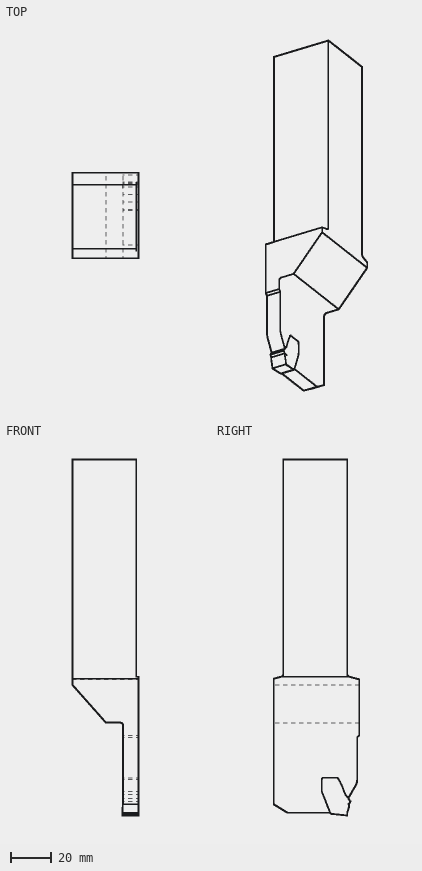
import cadquery as cq
import math

HEIGHT = 177.8
HEAD_WIDTH = 33.0
HEAD_DEPTH = 42.9

SHANK_SIDE = 32.0
SHANK_BACK = 4.8
SHANK_FRONT = SHANK_BACK + SHANK_SIDE

NECK_RADIUS = 1.5
NECK_TOP = 70.8
COLLAR_SLOPE = math.radians(15)

HEAD_SIDE_BOTTOM = 65.3
UNDERSIDE_Z = 46.4
UNDERSIDE_START = 16.7
BLADE_THICKNESS = 7.8
BLADE_X = HEAD_WIDTH - BLADE_THICKNESS
BLADE_FILLET = 1.5

BLADE_BOTTOM = 1.5
BACK_CHAMFER_RUN = 7.0
BACK_CHAMFER_RISE = 4.3
RELIEF = 1.0
RELIEF_TOP = 40.2
NOSE_TOP = (41.8, 17.6)
NOSE_ROUND_MID = (41.6, 16.5)
NOSE_ROUND_END = (41.0, 15.1)
NOSE_BOTTOM = (37.3, 8.7)

INSERT_BOTTOM_BACK = (28.5, 0.9)
INSERT_TIP = (36.8, 0.0)
TIP_FACE_TOP = (36.8, 1.5)
RAKE_BOTTOM = (37.7, 4.3)
RAKE_TOP = (37.7, 5.9)
BEAK = (38.4, 7.1)
CLAMP_SIDE = [(35.7, 10.7), (34.1, 15.0), (33.0, 17.0), (32.0, 18.8)]
SEAT_END = [(24.5, 18.8), (24.0, 18.1), (24.0, 12.3)]
FLARE_TOP = (35.7, 5.9)
FLARE_BOTTOM = (32.2, 0.5)
FLARE_HEIGHT = 0.4


def yz_prism(outline, x_start, x_end):
    """Extrude a closed (Y, Z) wire along X."""
    return outline.close().extrude(x_end - x_start).translate((x_start, 0, 0))


def head_outline():
    """Shank and head silhouette along X, with filleted necks above a sloping collar."""
    fillet_reach = NECK_RADIUS * (1 - math.sin(COLLAR_SLOPE))
    fillet_end_z = NECK_TOP - NECK_RADIUS * math.cos(COLLAR_SLOPE)
    half_turn = (math.pi / 2 - COLLAR_SLOPE) / 2
    mid_reach = NECK_RADIUS * (1 - math.cos(half_turn))
    mid_z = NECK_TOP - NECK_RADIUS * math.sin(half_turn)

    back_run = SHANK_BACK - fillet_reach
    front_run = HEAD_DEPTH - SHANK_FRONT - fillet_reach
    back_edge_z = fillet_end_z - back_run * math.tan(COLLAR_SLOPE)
    front_edge_z = fillet_end_z - front_run * math.tan(COLLAR_SLOPE)

    return (
        cq.Workplane("YZ")
        .moveTo(0, BLADE_BOTTOM + BACK_CHAMFER_RISE)
        .lineTo(0, back_edge_z)
        .lineTo(back_run, fillet_end_z)
        .threePointArc((SHANK_BACK - mid_reach, mid_z), (SHANK_BACK, NECK_TOP))
        .lineTo(SHANK_BACK, HEIGHT)
        .lineTo(SHANK_FRONT, HEIGHT)
        .lineTo(SHANK_FRONT, NECK_TOP)
        .threePointArc((SHANK_FRONT + mid_reach, mid_z), (SHANK_FRONT + fillet_reach, fillet_end_z))
        .lineTo(HEAD_DEPTH, front_edge_z)
        .lineTo(HEAD_DEPTH, RELIEF_TOP)
        .lineTo(HEAD_DEPTH - RELIEF, RELIEF_TOP - RELIEF)
        .lineTo(*NOSE_TOP)
        .threePointArc(NOSE_ROUND_MID, NOSE_ROUND_END)
        .lineTo(*NOSE_BOTTOM)
        .lineTo(INSERT_BOTTOM_BACK[0], BLADE_BOTTOM)
        .lineTo(BACK_CHAMFER_RUN, BLADE_BOTTOM)
    )


def side_envelope():
    """Shank and head silhouette along Y: ledge, slanted underside and thin blade."""
    ledge_z = NECK_TOP - NECK_RADIUS * math.cos(COLLAR_SLOPE)
    fillet_mid = BLADE_FILLET * (1 - math.sqrt(0.5))
    return (
        cq.Workplane("XZ")
        .moveTo(0, HEIGHT)
        .lineTo(SHANK_SIDE, HEIGHT)
        .lineTo(SHANK_SIDE, ledge_z)
        .lineTo(HEAD_WIDTH, ledge_z)
        .lineTo(HEAD_WIDTH, 0)
        .lineTo(BLADE_X, 0)
        .lineTo(BLADE_X, UNDERSIDE_Z - BLADE_FILLET)
        .threePointArc(
            (BLADE_X - fillet_mid, UNDERSIDE_Z - fillet_mid),
            (BLADE_X - BLADE_FILLET, UNDERSIDE_Z),
        )
        .lineTo(UNDERSIDE_START, UNDERSIDE_Z)
        .lineTo(0, HEAD_SIDE_BOTTOM)
        .close()
        .extrude(-HEAD_DEPTH)
    )


def insert_prism():
    """Plain insert, as thick as the blade."""
    outline = cq.Workplane("YZ").polyline([
        INSERT_BOTTOM_BACK,
        INSERT_TIP,
        TIP_FACE_TOP,
        RAKE_BOTTOM,
        RAKE_TOP,
        BEAK,
        NOSE_BOTTOM,
        *CLAMP_SIDE,
        *SEAT_END,
    ])
    return yz_prism(outline, BLADE_X, HEAD_WIDTH)


def tip_flare():
    """Wedge on the insert's side that grows from the flare line to the cutting corner."""
    line_y = FLARE_BOTTOM[0] - FLARE_TOP[0]
    line_z = FLARE_BOTTOM[1] - FLARE_TOP[1]
    length = math.hypot(line_y, line_z)
    tip_y = INSERT_TIP[0] - FLARE_TOP[0]
    tip_z = INSERT_TIP[1] - FLARE_TOP[1]
    reach = (line_y * tip_z - line_z * tip_y) / length

    flare_plane = cq.Plane(
        origin=(BLADE_X, *FLARE_TOP), xDir=(-1, 0, 0), normal=(0, line_y, line_z)
    )
    wedge = (
        cq.Workplane(flare_plane)
        .polyline([(0, 0), (0, reach), (FLARE_HEIGHT, reach)])
        .close()
        .extrude(length, both=True)
    )
    outline = cq.Workplane("YZ").polyline([
        FLARE_TOP, RAKE_TOP, RAKE_BOTTOM, TIP_FACE_TOP, INSERT_TIP, FLARE_BOTTOM,
    ])
    return yz_prism(outline, BLADE_X - FLARE_HEIGHT, BLADE_X).intersect(wedge)


def make_holder():
    silhouette = yz_prism(head_outline(), 0, HEAD_WIDTH)
    return silhouette.intersect(side_envelope()).cut(insert_prism())


def make_insert():
    return insert_prism().union(tip_flare())


holder = make_holder()
cutting_insert = make_insert()

result = cq.Compound.makeCompound([holder.val(), cutting_insert.val()])